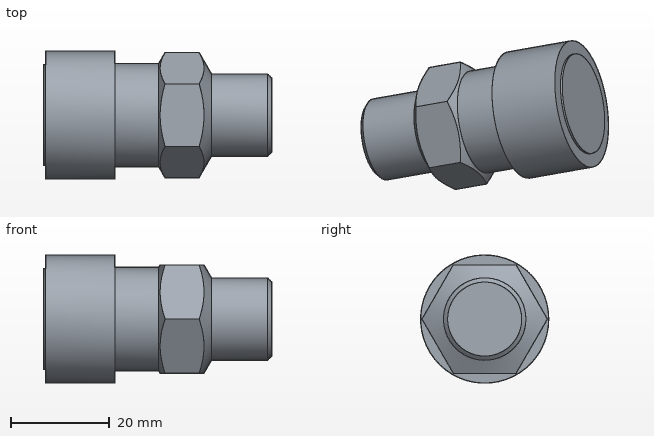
import cadquery as cq
import math

overall_length = 46.2
end_face_step = 0.4
collar_length = 14.0
neck_length = 8.9
hex_length = 10.7
spigot_chamfer = 0.85

end_face_diameter = 20.5
collar_diameter = 26.0
neck_diameter = 21.0
hex_sides = 6
hex_across_flats = 22.0
spigot_diameter = 16.7
hex_chamfer_angle = 30.0

start_x = 0.0
collar_start = start_x + end_face_step
neck_start = collar_start + collar_length
hex_start = neck_start + neck_length
hex_end = hex_start + hex_length
spigot_end = start_x + overall_length


def cylinder(x_from, x_to, diameter):
    """Solid cylinder on the X axis between two stations."""
    return cq.Workplane("YZ", origin=(x_from, 0, 0)).circle(diameter / 2).extrude(x_to - x_from)


def chamfered_hex():
    """Hexagon with flats facing +Z and -Z, its corners turned off by a cone at each end."""
    corner_diameter = hex_across_flats / math.cos(math.pi / hex_sides)
    prism = (
        cq.Workplane("YZ", origin=(hex_start, 0, 0))
        .polygon(hex_sides, corner_diameter)
        .extrude(hex_length)
    )
    outer_radius = collar_diameter / 2
    neck_radius = neck_diameter / 2
    spigot_radius = spigot_diameter / 2
    slope = math.tan(math.radians(hex_chamfer_angle))
    turned_envelope = (
        cq.Workplane("XY")
        .moveTo(hex_start, 0)
        .lineTo(hex_start, neck_radius)
        .lineTo(hex_start + (outer_radius - neck_radius) * slope, outer_radius)
        .lineTo(hex_end - (outer_radius - spigot_radius) * slope, outer_radius)
        .lineTo(hex_end, spigot_radius)
        .lineTo(hex_end, 0)
        .close()
        .revolve(360, (0, 0, 0), (1, 0, 0))
    )
    return prism.intersect(turned_envelope)


end_face = cylinder(start_x, collar_start, end_face_diameter)
collar = cylinder(collar_start, neck_start, collar_diameter)
neck = cylinder(neck_start, hex_start, neck_diameter)
spigot = cylinder(hex_end, spigot_end, spigot_diameter).faces(">X").chamfer(spigot_chamfer)

result = end_face.union(collar).union(neck).union(chamfered_hex()).union(spigot)